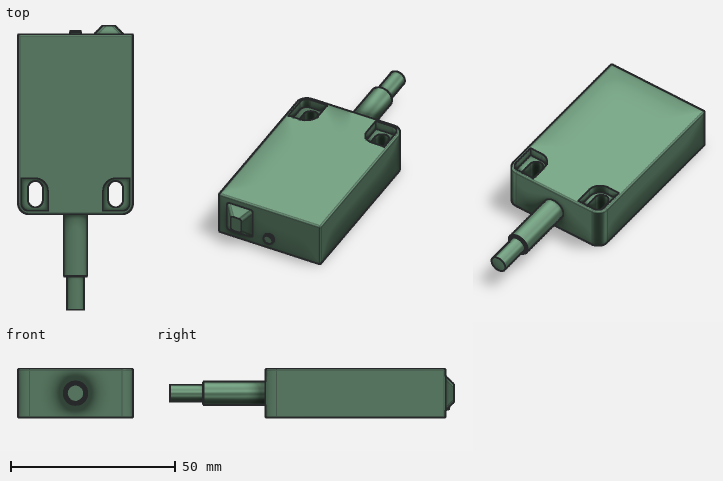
import cadquery as cq

width = 35.0
length = 54.8
height = 15.0
corner_radius = 3.4
edge_radius = 0.5

rim = 1.0
pocket_width = 8.1
pocket_length = 9.95
pocket_depth = 3.0
pocket_corner_radius = 4.0
slot_width = 4.5
slot_length = 8.0
slot_x = 12.2
slot_y = 6.1

nose_x = 10.1
nose_height = 2.6
nose_tip_width = 3.7
nose_tip_depth = 5.3
nose_edge_radius = 1.5

button_z = -3.4
button_diameter = 3.4
button_tip_diameter = 3.0
button_height = 1.0
button_tip_height = 0.5

total_length = 86.5
cable_diameter = 5.2
cable_length = total_length - length - nose_height
sleeve_diameter = 7.2
sleeve_bore = 5.6
sleeve_length = 19.0
sleeve_chamfer = 0.35


def back_plane(x, z):
    """Plane on the housing back face, normal +Y, local x along +X and local y along -Z."""
    return cq.Plane(origin=(x, length, z), xDir=(1, 0, 0), normal=(0, 1, 0))


def front_plane():
    """Plane on the housing front face, normal -Y."""
    return cq.Plane(origin=(0, 0, 0), xDir=(1, 0, 0), normal=(0, -1, 0))


def pocket_cutter(side):
    """Mounting pocket on the given X side (-1 or +1), with its two opposite corners rounded."""
    outer_x = side * (width / 2 - rim)
    centre_x = outer_x - side * pocket_width / 2
    inner_corner = ">X and >Y" if side < 0 else "<X and >Y"
    outer_corner = "<X and <Y" if side < 0 else ">X and <Y"
    block = (
        cq.Workplane("XY", origin=(centre_x, rim + pocket_length / 2, height / 2 - pocket_depth))
        .rect(pocket_width, pocket_length)
        .extrude(pocket_depth)
    )
    block = block.edges("|Z").edges(inner_corner).fillet(pocket_corner_radius)
    return block.edges("|Z").edges(outer_corner).fillet(corner_radius - rim)


def slot_cutter(side):
    """Through slot on the given X side, long along Y."""
    return (
        cq.Workplane("XY", origin=(side * slot_x, slot_y, -height / 2))
        .slot2D(slot_length, slot_width, 90)
        .extrude(height)
    )


def make_nose():
    """Frustum with 45 degree flanks and rounded sloping edges."""
    spread = 2 * nose_height
    return (
        cq.Workplane(back_plane(nose_x, 0))
        .rect(nose_tip_width + spread, nose_tip_depth + spread)
        .workplane(offset=nose_height)
        .rect(nose_tip_width, nose_tip_depth)
        .loft(ruled=True)
        .edges("not(#Y)")
        .fillet(nose_edge_radius)
    )


def make_housing():
    body = cq.Workplane("XY").box(width, length, height).translate((0, length / 2, 0))
    body = body.edges("|Z and <Y").fillet(corner_radius)
    body = body.faces("<Z or >Z or >Y").edges().fillet(edge_radius)
    for side in (-1, 1):
        body = body.cut(pocket_cutter(side)).cut(slot_cutter(side))
    return body.union(make_nose())


def make_button():
    """Short cylinder that tapers towards its tip."""
    straight_height = button_height - button_tip_height
    straight = cq.Workplane(back_plane(0, button_z)).circle(button_diameter / 2).extrude(straight_height)
    tip = (
        straight.faces(">Y")
        .workplane()
        .circle(button_diameter / 2)
        .workplane(offset=button_tip_height)
        .circle(button_tip_diameter / 2)
        .loft(combine=False)
    )
    return straight.union(tip)


def make_cable():
    return cq.Workplane(front_plane()).circle(cable_diameter / 2).extrude(cable_length)


def make_sleeve():
    """Tube round the cable, bored with a small clearance."""
    tube = cq.Workplane(front_plane()).circle(sleeve_diameter / 2).extrude(sleeve_length)
    tube = tube.faces("<Y").edges().chamfer(sleeve_chamfer)
    bore = cq.Workplane(front_plane()).circle(sleeve_bore / 2).extrude(sleeve_length)
    return tube.cut(bore)


housing = make_housing().union(make_button())
sleeve = make_sleeve()
cable = make_cable()

result = cq.Compound.makeCompound([housing.val(), sleeve.val(), cable.val()])